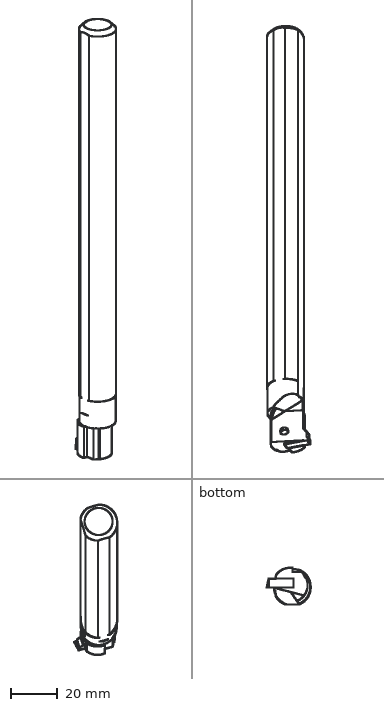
import cadquery as cq

total_length = 201.2
shank_start_z = 27.8
flats_end_z = 20.7
joint_z = 15.0
head_bottom_z = 0.5

shank_radius = 8.0
neck_radius = 7.79
top_chamfer = 2.0
side_flat_x = -7.0
front_flat_y = 7.55

head_radius = 7.5
head_center_x = -0.8
head_center_y = -0.9
side_relief_end_y = -5.2
front_step_x = 0.2
front_relief_x = 4.5
front_relief_y = -6.5
corner_relief = (5.6, -4.0)

gash_edge = (-8.0, 0.2)
gash_back = (6.8, 4.0)
runout_height = 13.5
runout_normal = (0.8, -0.55, 1.0)
port_diameter = 3.5
port_depth = 2.0
port_x = -0.2
port_z = 5.5

tooth_tip_x = -10.9
tooth_tip_z = 1.0
tooth_shoulder_x = -9.7
tooth_root_x = -6.8
tooth_top_z = 6.5
tooth_shoulder_z = 4.5
tooth_neck_z = 2.0
tooth_base_x = -9.9
tooth_end_x = 0.6
tooth_thickness = 3.8
tooth_clearance_angle = 12.0

oversize = 40.2


def make_gash():
    """Volume removed above the gash floor and below the run-out plane."""
    slope = (gash_back[1] - gash_edge[1]) / (gash_back[0] - gash_edge[0])
    floor_left_y = gash_edge[1] + slope * (-oversize - gash_edge[0])
    floor_right_y = gash_edge[1] + slope * (oversize - gash_edge[0])
    above_floor = (
        cq.Workplane("XY")
        .workplane(offset=-oversize)
        .moveTo(-oversize, floor_left_y)
        .lineTo(oversize, floor_right_y)
        .lineTo(oversize, oversize)
        .lineTo(-oversize, oversize)
        .close()
        .extrude(3 * oversize)
    )
    runout = cq.Plane(origin=(0, 0, runout_height), normal=runout_normal)
    below_runout = cq.Workplane(runout).rect(4 * oversize, 4 * oversize).extrude(-3 * oversize)
    return above_floor.intersect(below_runout)


def make_shank(gash):
    """Round bar with three long flats (the +Y one reaches the joint), a chamfered top and a slimmer neck."""
    bar = (
        cq.Workplane("XY")
        .workplane(offset=shank_start_z)
        .circle(shank_radius)
        .extrude(total_length - shank_start_z)
        .faces(">Z")
        .chamfer(top_chamfer)
    )
    neck = cq.Workplane("XY").workplane(offset=joint_z).circle(neck_radius).extrude(shank_start_z - joint_z)
    body = bar.union(neck)
    flat_length = total_length - flats_end_z
    flatted_envelope = (
        cq.Workplane("XY")
        .workplane(offset=flats_end_z)
        .moveTo(side_flat_x, -front_flat_y)
        .lineTo(oversize, -front_flat_y)
        .lineTo(oversize, front_flat_y)
        .lineTo(side_flat_x, front_flat_y)
        .close()
        .extrude(flat_length)
    )
    below_flats = (
        cq.Workplane("XY")
        .rect(2 * oversize, oversize + front_flat_y)
        .extrude(flats_end_z)
        .translate((0, (front_flat_y - oversize) / 2, 0))
    )
    return body.intersect(flatted_envelope.union(below_flats)).cut(gash)


def head_circle_left_x(y):
    """X of the head circle on its -X side at the given Y."""
    return head_center_x - (head_radius**2 - (y - head_center_y) ** 2) ** 0.5


def make_relief_cuts():
    """Volumes that flatten the -X side and step back the -Y side of the head."""
    height = joint_z
    side = (
        cq.Workplane("XY")
        .moveTo(head_circle_left_x(gash_edge[1]), gash_edge[1])
        .lineTo(head_circle_left_x(side_relief_end_y), side_relief_end_y)
        .lineTo(-oversize, side_relief_end_y)
        .lineTo(-oversize, gash_edge[1])
        .close()
        .extrude(height)
    )
    front = (
        cq.Workplane("XY")
        .moveTo(front_step_x, -oversize)
        .lineTo(front_step_x, front_relief_y)
        .lineTo(front_relief_x, front_relief_y)
        .lineTo(*corner_relief)
        .lineTo(corner_relief[0], -oversize)
        .close()
        .extrude(height)
    )
    return side.union(front)


def make_tooth():
    """Pointed cutting tooth, rake face level with the gash edge, its tip relieved behind it."""
    tooth = (
        cq.Workplane("XZ", origin=(0, gash_edge[1], 0))
        .moveTo(tooth_end_x, 0)
        .lineTo(tooth_base_x, 0)
        .lineTo(tooth_tip_x, tooth_tip_z)
        .lineTo(tooth_shoulder_x, tooth_neck_z)
        .lineTo(tooth_shoulder_x, tooth_shoulder_z)
        .lineTo(gash_edge[0], tooth_top_z)
        .lineTo(tooth_root_x, tooth_top_z)
        .lineTo(tooth_end_x, tooth_neck_z)
        .close()
        .extrude(tooth_thickness)
    )
    clearance = (
        cq.Workplane("XY")
        .rect(oversize, 2 * oversize)
        .extrude(tooth_top_z)
        .translate((-oversize / 2, 0, 0))
        .rotate((0, 0, 0), (0, 0, 1), tooth_clearance_angle)
        .translate((tooth_tip_x, gash_edge[1], 0))
    )
    return tooth.cut(clearance)


def make_port():
    """Shallow round port sunk square into the gash floor."""
    run = gash_back[0] - gash_edge[0]
    rise = gash_back[1] - gash_edge[1]
    port_y = gash_edge[1] + rise / run * (port_x - gash_edge[0])
    floor = cq.Plane(origin=(port_x, port_y, port_z), xDir=(run, rise, 0), normal=(-rise, run, 0))
    return cq.Workplane(floor).circle(port_diameter / 2).extrude(-port_depth)


def make_head(gash):
    """Offset cutting head, seated flat against the end of the neck."""
    blank = (
        cq.Workplane("XY", origin=(head_center_x, head_center_y, head_bottom_z))
        .circle(head_radius)
        .extrude(joint_z - head_bottom_z)
    )
    return blank.cut(make_relief_cuts()).cut(gash).union(make_tooth()).cut(make_port())


chip_gash = make_gash()
shank = make_shank(chip_gash)
cutting_head = make_head(chip_gash)

result = cq.Compound.makeCompound([shank.val(), cutting_head.val()])